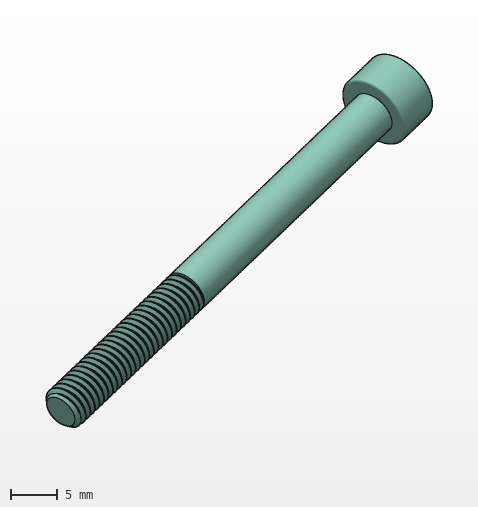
import cadquery as cq

total_length = 60.0
head_diameter = 8.5
head_height = 5.0
head_edge_radius = 0.3

shank_diameter = 5.0
shank_length = total_length - head_height

thread_length = 22.0
thread_turns = 27.6
thread_pitch = thread_length / thread_turns
groove_depth = 0.5
groove_root_width = 0.2
groove_mouth_width = 0.65
groove_overrun = 0.05
thread_start_angle = 25.0

tip_chamfer = 0.6


def cylinder_along_y(diameter, start, length):
    """Solid cylinder on the Y axis, from y = start towards +Y."""
    plane = cq.Plane(origin=(0, start, 0), xDir=(1, 0, 0), normal=(0, 1, 0))
    return cq.Workplane(plane).circle(diameter / 2).extrude(length)


def make_head():
    """Cylindrical head with both rims rounded; its bearing face is at y = 0."""
    head = cylinder_along_y(head_diameter, 0, head_height)
    return head.faces("<Y or >Y").edges().fillet(head_edge_radius)


def make_thread_groove():
    """Helical cutter running one pitch past both ends of the thread."""
    root_radius = shank_diameter / 2 - groove_depth
    outer_radius = shank_diameter / 2 + groove_overrun
    flank_slope = (groove_mouth_width - groove_root_width) / groove_depth
    outer_half_width = (groove_mouth_width + flank_slope * groove_overrun) / 2
    root_half_width = groove_root_width / 2

    helix_height = thread_length + 2 * thread_pitch
    corners = [
        (root_radius, -root_half_width),
        (outer_radius, -outer_half_width),
        (outer_radius, outer_half_width),
        (root_radius, root_half_width),
    ]
    helices = [
        cq.Wire.makeHelix(thread_pitch, helix_height, radius).translate(cq.Vector(0, 0, offset))
        for radius, offset in corners
    ]
    faces = []
    for index, helix in enumerate(helices):
        faces.append(cq.Face.makeRuledSurface(helices[index - 1], helix))
    for end in (0, 1):
        outline = cq.Wire.makePolygon([helix.positionAt(end) for helix in helices], close=True)
        faces.append(cq.Face.makeFromWires(outline))
    groove = cq.Workplane(obj=cq.Solid.makeSolid(cq.Shell.makeShell(faces)))

    return (
        groove
        .rotate((0, 0, 0), (0, 0, 1), thread_start_angle)
        .rotate((0, 0, 0), (1, 0, 0), -90)
        .translate((0, -shank_length - thread_pitch, 0))
    )


def make_thread():
    """Threaded end of the shank, with a chamfered tip."""
    blank = cylinder_along_y(shank_diameter, -shank_length, thread_length)
    blank = blank.faces("<Y").edges().chamfer(tip_chamfer)
    return blank.cut(make_thread_groove())


def make_plain_shank():
    """Unthreaded shank between the thread and the head."""
    plain_length = shank_length - thread_length
    return cylinder_along_y(shank_diameter, -plain_length, plain_length)


result = make_head().union(make_plain_shank()).union(make_thread())